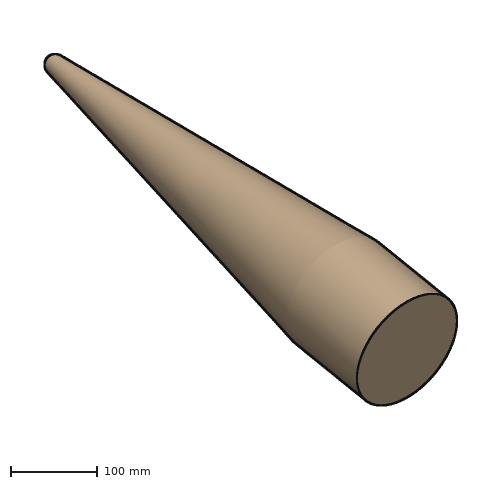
import cadquery as cq
import math

overall_length = 646.91
base_radius = 76.2
base_length = 127.0
nose_radius = 12.7

cone_end = overall_length - base_length
centre_to_rim_axial = cone_end - nose_radius
centre_to_rim = math.hypot(centre_to_rim_axial, base_radius)
rim_angle = math.atan2(base_radius, centre_to_rim_axial)
cone_half_angle = rim_angle - math.asin(nose_radius / centre_to_rim)

nose_arc_angle = math.pi / 2 - cone_half_angle


def nose_point(angle):
    """Point of the nose arc at the given angle from the tip, as (axial, radial)."""
    return (
        nose_radius * (1 - math.cos(angle)),
        nose_radius * math.sin(angle),
    )


def half_profile():
    """Half outline of the part in the XZ plane, closed along the axis."""
    return (
        cq.Workplane("XZ")
        .moveTo(0, 0)
        .threePointArc(nose_point(nose_arc_angle / 2), nose_point(nose_arc_angle))
        .lineTo(cone_end, base_radius)
        .lineTo(overall_length, base_radius)
        .lineTo(overall_length, 0)
        .close()
    )


axis_start = (0, 0, 0)
axis_end = (1, 0, 0)
result = half_profile().revolve(360, axis_start, axis_end)